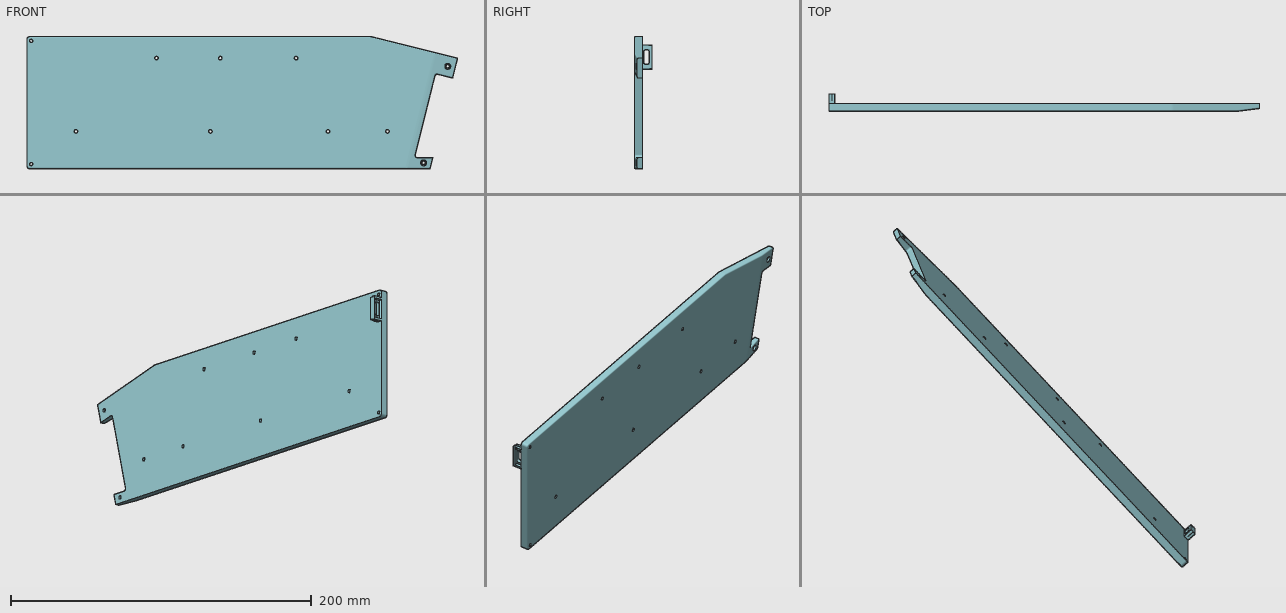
import cadquery as cq
import math

length = 286.3
thickness = 5.5
corner_radius = 2.0
front_edge_radius = 1.0

rake = math.radians(14.0)
knee_x = 228.5
knee_radius = 7.2
tip_height = 73.5
height = tip_height + (length - knee_x) * math.tan(rake)

tab_reach = 11.7
upper_tab_width = 13.7
lower_tab_height = 7.5
notch_radius = 1.5

crease_to_end = 15.2
crease_radius = 14.3
tab_slope = math.radians(7.0)

hole_diameter = 2.2
lower_row_z = 25.0
lower_row = [(x, lower_row_z) for x in (32.5, 122.0, 200.0, 239.5)]
upper_row_z = 73.5
upper_row = [(x, upper_row_z) for x in (86.2, 128.5, 179.0)]
corner_hole_diameter = 2.0
corner_holes = [(3.0, 3.1), (3.0, 85.0)]
tab_holes = [(279.7, 68.0), (263.7, 4.0)]
tab_recess_diameter = 4.0
tab_recess_floor = 3.5

eye_back = 11.7
eye_bottom = 66.0
eye_top = 82.5
eye_width = 4.0
eye_taper = 0.5
eye_taper_length = 4.5
recess_rim = 1.5
recess_depth = 1.5
recess_draft = 0.5
opening_margin = 3.5
opening_near = 6.3
opening_far = 9.7
opening_radius = 1.1

clearance = 5.7
tolerance = 0.3

crease_tangent = crease_radius * math.tan(tab_slope / 2)


def end_x(z):
    """X of the raked end at height z."""
    return length - (tip_height - z) * math.tan(rake)


def make_outline_plate():
    """Plate of even thickness with its outline corners rounded."""
    upper_tab_z = tip_height - upper_tab_width * math.cos(rake)
    upper_tab_x = end_x(upper_tab_z)
    notch_top_x = upper_tab_x - tab_reach * math.cos(rake)
    notch_top_z = upper_tab_z + tab_reach * math.sin(rake)
    notch_bottom_x = notch_top_x - (notch_top_z - lower_tab_height) * math.tan(rake)
    outline = [
        (0, 0),
        (end_x(0), 0),
        (end_x(lower_tab_height), lower_tab_height),
        (notch_bottom_x, lower_tab_height),
        (notch_top_x, notch_top_z),
        (upper_tab_x, upper_tab_z),
        (length, tip_height),
        (knee_x, height),
        (0, height),
    ]
    rounded_corners = [
        (0, 0, corner_radius),
        (0, height, corner_radius),
        (knee_x, height, knee_radius),
        (notch_top_x, notch_top_z, notch_radius),
        (notch_bottom_x, lower_tab_height, notch_radius),
    ]
    body = cq.Workplane("XZ").polyline(outline).close().extrude(-thickness)
    for x, z, radius in rounded_corners:
        corner = cq.selectors.NearestToPointSelector((x, thickness / 2, z))
        body = body.edges("|Y").edges(corner).fillet(radius)
    return body


def make_slope_cutter():
    """Body in front of the sloping tab face, with an arc along the crease."""
    raked_end = cq.Plane(
        origin=(end_x(0), 0, 0),
        xDir=(math.cos(rake), 0, -math.sin(rake)),
        normal=(math.sin(rake), 0, math.cos(rake)),
    )
    arc_start_x = -crease_to_end - crease_tangent
    arc_middle = (
        arc_start_x + crease_radius * math.sin(tab_slope / 2),
        crease_radius * (1 - math.cos(tab_slope / 2)),
    )
    arc_end = (
        -crease_to_end + crease_tangent * math.cos(tab_slope),
        crease_tangent * math.sin(tab_slope),
    )
    return (
        cq.Workplane(raked_end)
        .moveTo(arc_start_x, 0)
        .threePointArc(arc_middle, arc_end)
        .lineTo(clearance, (crease_to_end + clearance) * math.tan(tab_slope))
        .lineTo(clearance, -clearance)
        .lineTo(arc_start_x, -clearance)
        .close()
        .extrude(height, both=True)
    )


def is_front_rim(edge):
    """True for the front rim, without the tab ends and the two long lines beside the crease."""
    middle = edge.Center()
    to_end = (end_x(middle.z) - middle.x) * math.cos(rake)
    on_tab_end = to_end < tolerance
    near_crease = abs(to_end - crease_to_end) < crease_tangent + tolerance
    on_crease = near_crease and edge.Length() > upper_tab_width
    return middle.y < thickness / 2 and not on_tab_end and not on_crease


def drill(body, places, diameter, hole_depth):
    """Drill from the front, y = 0, to the given depth."""
    return body.cut(cq.Workplane("XZ").pushPoints(places).circle(diameter / 2).extrude(-hole_depth))


def eye_block(margin, near, far, block_width, draft_angle=0):
    """Block from x = 0, margin inside the eye's top and bottom, between y = near and y = far."""
    plane = cq.Workplane("YZ", origin=(0, near, eye_bottom + margin))
    block_height = eye_top - eye_bottom - 2 * margin
    section = plane.rect(far - near, block_height, centered=False)
    return section.extrude(block_width, taper=draft_angle)


def make_eye():
    """Eye with a drafted recess on the left side and a rounded opening through it."""
    left_half = eye_block(0, thickness, eye_back, eye_width / 2)
    taper_start = eye_back - eye_taper_length
    right_profile = [
        (thickness, eye_bottom),
        (taper_start, eye_bottom),
        (eye_back, eye_bottom + eye_taper),
        (eye_back, eye_top - eye_taper),
        (taper_start, eye_top),
        (thickness, eye_top),
    ]
    right_plane = cq.Workplane("YZ", origin=(eye_width / 2, 0, 0))
    right_half = right_plane.polyline(right_profile).close().extrude(eye_width / 2)
    draft_angle = math.degrees(math.atan2(recess_draft, recess_depth))
    recess = eye_block(recess_rim, thickness, eye_back - recess_rim, recess_depth, draft_angle)
    opening = eye_block(opening_margin, opening_near, opening_far, eye_width)
    opening = opening.edges("|X").fillet(opening_radius)
    return left_half.union(right_half).cut(recess).cut(opening)


plate = make_outline_plate().cut(make_slope_cutter())
plate = plate.edges("not |Y").filter(is_front_rim).fillet(front_edge_radius)
plate = drill(plate, lower_row + upper_row + tab_holes, hole_diameter, thickness)
plate = drill(plate, corner_holes, corner_hole_diameter, thickness)
plate = drill(plate, tab_holes, tab_recess_diameter, tab_recess_floor)

result = plate.union(make_eye())